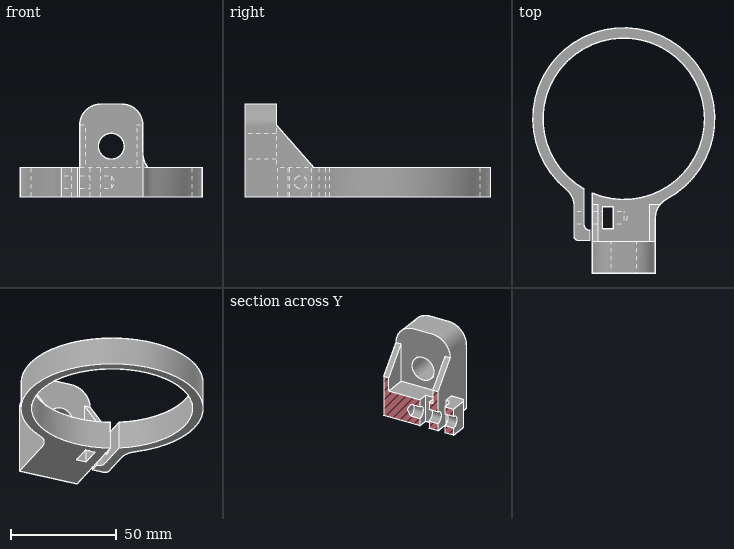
import cadquery as cq
import math

ring_radius = 43.0
bore_radius = 38.0
ring_height = 14.0
blend_radius = 10.0

block_half_width = 15.0
block_front = -73.0
lug_thickness = 15.0
lug_back = block_front + lug_thickness
lug_height = 44.0
lug_corner_radius = 10.0
lug_hole_radius = 6.0
lug_hole_height = 24.0

web_thickness = 2.9
web_length = 17.5
web_top = lug_height - lug_corner_radius

arm_inner_x = -18.7
arm_thickness = 4.9
arm_outer_x = arm_inner_x - arm_thickness
arm_tip_y = -57.5
hook_thickness = 5.0
hook_end_x = -15.9
hook_corner_radius = 2.1
hook_inner_radius = 2.5

screw_y = -46.7
screw_z = ring_height / 2
screw_radius = 3.0
screw_end_x = 0
screw_tip_length = screw_radius / math.tan(math.radians(59))
nut_slot_x = -7.5
nut_slot_width = 5.0
nut_slot_length = 10.2


def box(x_min, x_max, y_min, y_max, height):
    """Block standing on the base plane."""
    return (
        cq.Workplane("XY")
        .box(x_max - x_min, y_max - y_min, height, centered=False)
        .translate((x_min, y_min, 0))
    )


def ring_blend(side_x):
    """Concave corner filler tangent to the ring and to a side wall parallel to Y."""
    side = math.copysign(1, side_x)
    centre_x = side_x + side * blend_radius
    centre_distance = ring_radius + blend_radius
    centre_y = -math.sqrt(centre_distance**2 - centre_x**2)
    ring_share = ring_radius / centre_distance
    tangent = (centre_x * ring_share, centre_y * ring_share)

    wall_angle = math.pi if side > 0 else 0
    ring_angle = math.atan2(-centre_y, -centre_x)
    mid_angle = (wall_angle + ring_angle) / 2
    arc_middle = (
        centre_x + blend_radius * math.cos(mid_angle),
        centre_y + blend_radius * math.sin(mid_angle),
    )
    wall_middle_radius = (ring_radius + bore_radius) / 2
    inner_y = -math.sqrt(wall_middle_radius**2 - side_x**2)
    return (
        cq.Workplane("XY")
        .moveTo(side_x, centre_y)
        .threePointArc(arc_middle, tangent)
        .lineTo(side_x, inner_y)
        .close()
        .extrude(ring_height)
    )


def side_web(x_min):
    """Sloping web from the lug down to the top of the ring."""
    return (
        cq.Workplane("YZ")
        .moveTo(lug_back, ring_height)
        .lineTo(lug_back + web_length, ring_height)
        .lineTo(lug_back, web_top)
        .close()
        .extrude(web_thickness)
        .translate((x_min, 0, 0))
    )


def blend_web():
    """Continue the right-hand web sideways over the concave blend."""
    slope = (
        cq.Workplane("YZ")
        .moveTo(lug_back, 0)
        .lineTo(lug_back + web_length, 0)
        .lineTo(lug_back + web_length, ring_height)
        .lineTo(lug_back, web_top)
        .close()
        .extrude(ring_radius)
    )
    tall_blend = ring_blend(block_half_width).faces(">Z").wires().toPending().extrude(web_top)
    return tall_blend.intersect(slope)


def lug():
    body = box(-block_half_width, block_half_width, block_front, lug_back, lug_height)
    return body.edges("|Y and >Z").fillet(lug_corner_radius)


def clamp_arm():
    arm = box(arm_outer_x, arm_inner_x, arm_tip_y, -bore_radius + hook_thickness, ring_height)
    hook = box(arm_outer_x, hook_end_x, arm_tip_y, arm_tip_y + hook_thickness, ring_height)
    arm = arm.union(hook)
    arm = arm.edges("|Z and <X and <Y").fillet(hook_corner_radius)
    inner_corner = cq.selectors.NearestToPointSelector(
        (arm_inner_x, arm_tip_y + hook_thickness, ring_height / 2)
    )
    return arm.edges(inner_corner).fillet(hook_inner_radius)


def screw_hole():
    """Blind hole along X with a conical drill tip."""
    return (
        cq.Workplane("XY")
        .moveTo(arm_outer_x, 0)
        .lineTo(screw_end_x + screw_tip_length, 0)
        .lineTo(screw_end_x, screw_radius)
        .lineTo(arm_outer_x, screw_radius)
        .close()
        .revolve(360, (0, 0, 0), (1, 0, 0))
        .translate((0, screw_y, screw_z))
    )


ring = cq.Workplane("XY").circle(ring_radius).extrude(ring_height)
block = box(-block_half_width, block_half_width, lug_back, -bore_radius / 2, ring_height)
result = ring.union(block).union(lug()).union(clamp_arm())
for side_x in (arm_outer_x, block_half_width):
    result = result.union(ring_blend(side_x))
for web_x in (-block_half_width, block_half_width - web_thickness):
    result = result.union(side_web(web_x))
result = result.union(blend_web())

bore = cq.Workplane("XY").circle(bore_radius).extrude(ring_height)
gap = box(arm_inner_x, -block_half_width, arm_tip_y + hook_thickness + hook_inner_radius, 0, ring_height)
result = result.cut(bore).cut(gap)

lug_hole = (
    cq.Workplane("XZ", origin=(0, lug_back, lug_hole_height))
    .circle(lug_hole_radius)
    .extrude(lug_thickness)
)
nut_slot = (
    cq.Workplane("XY", origin=(nut_slot_x, screw_y, 0))
    .rect(nut_slot_width, nut_slot_length)
    .extrude(ring_height)
)
result = result.cut(lug_hole).cut(screw_hole()).cut(nut_slot)